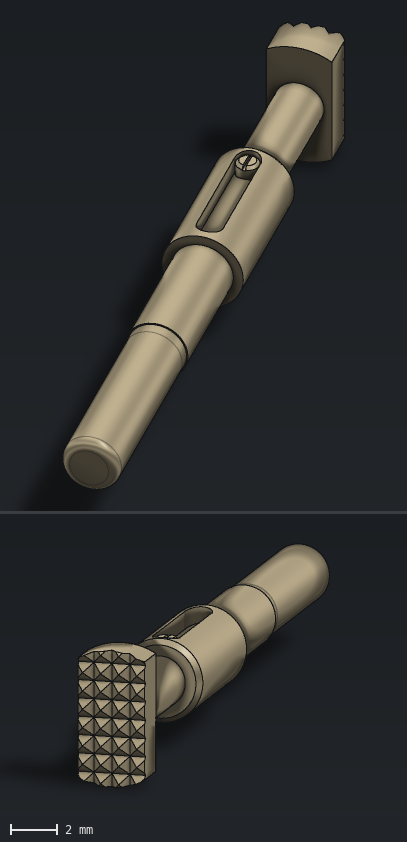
import cadquery as cq

TOTAL_LENGTH = 29.8
NECK_START = 8.45
BARREL_START = 9.0
COLLAR_START = 15.02
COLLAR_END = 22.02
HEAD_LENGTH = 2.0

TAIL_DIAMETER = 2.65
BARREL_DIAMETER = 2.8
COLLAR_DIAMETER = 3.7
PLUNGER_DIAMETER = 2.25
NECK_DIAMETER = 2.68
TAIL_ROUNDING = 0.45
COLLAR_CHAMFER = 0.25

HEAD_DIAMETER = 6.0
HEAD_WIDTH = 2.98
TOOTH_PITCH = 0.8
TOOTH_HEIGHT = TOOTH_PITCH / 2
TEETH_ACROSS = 4
TEETH_ALONG = 8

SLOT_WIDTH = 1.2
SLOT_START = 15.45
SLOT_END = 21.6
SCREW_DIAMETER = 1.07
SCREW_TOP = 1.75
SCREW_CHAMFER = 0.15
SCREW_RECESS_WIDTH = 0.15
SCREW_RECESS_DEPTH = 0.18

SCREW_Y = SLOT_END - SLOT_WIDTH / 2
HEAD_START = TOTAL_LENGTH - HEAD_LENGTH


def rod(diameter, start, end):
    """Round bar along +Y between two stations."""
    plane = cq.Workplane("XZ", origin=(0, start, 0))
    return plane.circle(diameter / 2).extrude(start - end)


def make_tail():
    """Tail with a rounded tip, widening along a slightly conical neck up to the barrel."""
    straight = rod(TAIL_DIAMETER, 0, NECK_START)
    rounded = straight.faces("<Y").edges().fillet(TAIL_ROUNDING)
    neck = (
        cq.Workplane("XZ", origin=(0, NECK_START, 0))
        .circle(TAIL_DIAMETER / 2)
        .workplane(offset=NECK_START - BARREL_START)
        .circle(NECK_DIAMETER / 2)
        .loft()
    )
    return rounded.union(neck)


def make_collar():
    """Collar with a chamfered head end and a round-ended slot down to the plunger."""
    collar = rod(COLLAR_DIAMETER, COLLAR_START, COLLAR_END)
    collar = collar.faces(">Y").chamfer(COLLAR_CHAMFER)
    slot = (
        cq.Workplane("XY", origin=(0, (SLOT_START + SLOT_END) / 2, 0))
        .slot2D(SLOT_END - SLOT_START, SLOT_WIDTH, 90)
        .extrude(COLLAR_DIAMETER)
    )
    return collar.cut(slot)


def make_screw():
    """Screw with a chamfered rim standing in the slot, with a driver recess along Y."""
    base = cq.Workplane("XY", origin=(0, SCREW_Y, 0))
    screw = base.circle(SCREW_DIAMETER / 2).extrude(SCREW_TOP)
    screw = screw.faces(">Z").chamfer(SCREW_CHAMFER)
    recess = (
        cq.Workplane("XY", origin=(0, SCREW_Y, SCREW_TOP - SCREW_RECESS_DEPTH))
        .rect(SCREW_RECESS_WIDTH, SCREW_DIAMETER)
        .extrude(SCREW_RECESS_DEPTH)
    )
    return screw.cut(recess)


def tooth_ridges(plane_name, count, length):
    """Slab of the head's length topped by a row of triangular ridges, centred on the axis."""
    half_row = count * TOOTH_PITCH / 2
    root = TOTAL_LENGTH - TOOTH_HEIGHT
    profile = [(-half_row, HEAD_START), (-half_row, root)]
    for index in range(count):
        left = index * TOOTH_PITCH - half_row
        profile.append((left + TOOTH_PITCH / 2, TOTAL_LENGTH))
        profile.append((left + TOOTH_PITCH, root))
    profile.append((half_row, HEAD_START))
    if plane_name == "YZ":
        profile = [(along, across) for across, along in profile]
    return cq.Workplane(plane_name).polyline(profile).close().extrude(length / 2, both=True)


def make_head():
    """Flattened disc whose end face is crossed by V-grooves in both directions."""
    disc = rod(HEAD_DIAMETER, HEAD_START, TOTAL_LENGTH)
    flats = cq.Workplane("XY").box(HEAD_WIDTH, 2 * TOTAL_LENGTH, HEAD_DIAMETER)
    ridges_across = tooth_ridges("XY", TEETH_ACROSS, HEAD_DIAMETER)
    ridges_along = tooth_ridges("YZ", TEETH_ALONG, HEAD_WIDTH)
    return disc.intersect(flats).intersect(ridges_across).intersect(ridges_along)


result = (
    make_tail()
    .union(rod(BARREL_DIAMETER, BARREL_START, COLLAR_START))
    .union(make_collar())
    .union(rod(PLUNGER_DIAMETER, COLLAR_START, HEAD_START))
    .union(make_screw())
    .union(make_head())
)